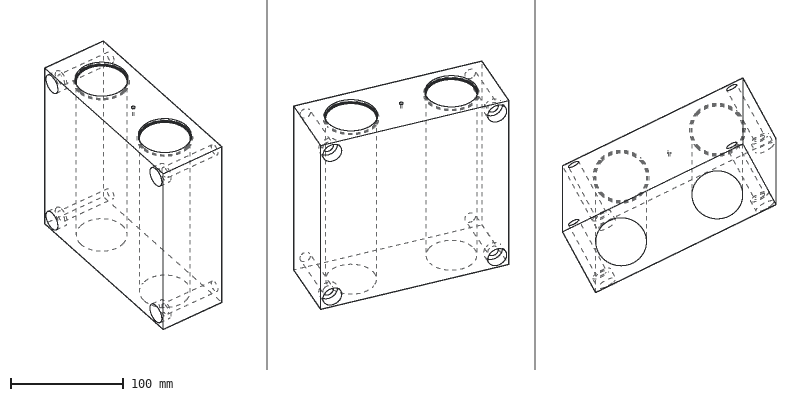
import cadquery as cq

width = 180.0
depth = 64.0
height = 180.0
front_y = -depth / 2
top_z = height / 2

bore_diameter = 45.0
bore_recess_diameter = 47.0
bore_recess_depth = 3.6
groove_diameter = 49.5
groove_start = 2.7
groove_width = 0.5
bore_spacing = 96.0

screw_diameter = 10.0
screw_head_diameter = 18.0
screw_head_depth = 10.0
screw_edge_distance = 11.2

pilot_diameter = 1.6
pilot_depth = 9.0
countersink_diameter = 3.5
countersink_depth = 1.6


def vertical_hole(x, diameter, hole_depth, start_depth=0):
    """Cylinder reaching down from start_depth below the top face."""
    return cq.Workplane("XY", origin=(x, 0, top_z - start_depth)).circle(diameter / 2).extrude(-hole_depth)


def front_hole(x, z, diameter, hole_depth):
    """Cylinder reaching into the block from the front face."""
    return cq.Workplane("XZ", origin=(x, front_y, z)).circle(diameter / 2).extrude(-hole_depth)


result = cq.Workplane("XY").box(width, depth, height)

for side in (-1, 1):
    bore_x = side * bore_spacing / 2
    result = result.cut(vertical_hole(bore_x, bore_diameter, height))
    result = result.cut(vertical_hole(bore_x, bore_recess_diameter, bore_recess_depth))
    result = result.cut(vertical_hole(bore_x, groove_diameter, groove_width, groove_start))

for x_side in (-1, 1):
    for z_side in (-1, 1):
        screw_x = x_side * (width / 2 - screw_edge_distance)
        screw_z = z_side * (height / 2 - screw_edge_distance)
        result = result.cut(front_hole(screw_x, screw_z, screw_diameter, depth))
        result = result.cut(front_hole(screw_x, screw_z, screw_head_diameter, screw_head_depth))

result = result.cut(vertical_hole(0, pilot_diameter, pilot_depth))
countersink = cq.Solid.makeCone(
    countersink_diameter / 2,
    pilot_diameter / 2,
    countersink_depth,
    pnt=cq.Vector(0, 0, top_z),
    dir=cq.Vector(0, 0, -1),
)
result = result.cut(cq.Workplane(obj=countersink))